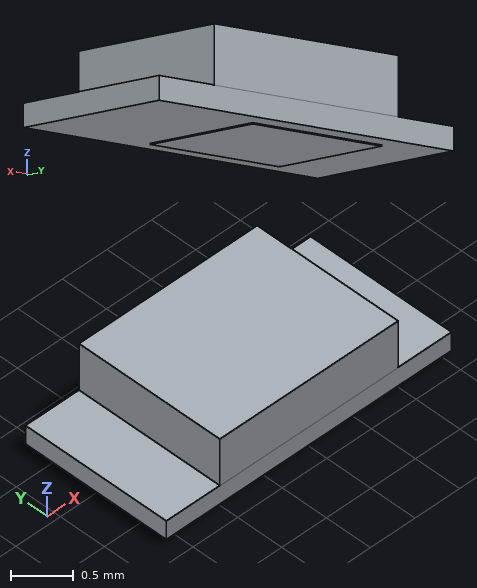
import cadquery as cq

base_length = 3.2
width = 1.6
base_thickness = 0.2

body_length = 2.0
body_height = 0.5

pad_length = 1.4
pad_width = 1.2
pad_thickness = 0.01
pad_center_x = (pad_length - body_length) / 2


def block(length, depth, height, bottom_z, center_x=0):
    """Box centred on Y = 0, standing on the level bottom_z."""
    return (
        cq.Workplane("XY")
        .box(length, depth, height, centered=(True, True, False))
        .translate((center_x, 0, bottom_z))
    )


base = block(base_length, width, base_thickness, 0)
body = block(body_length, width, body_height, base_thickness)
pad = block(pad_length, pad_width, pad_thickness, -pad_thickness, pad_center_x)

result = base.union(body, clean=False).union(pad, clean=False)